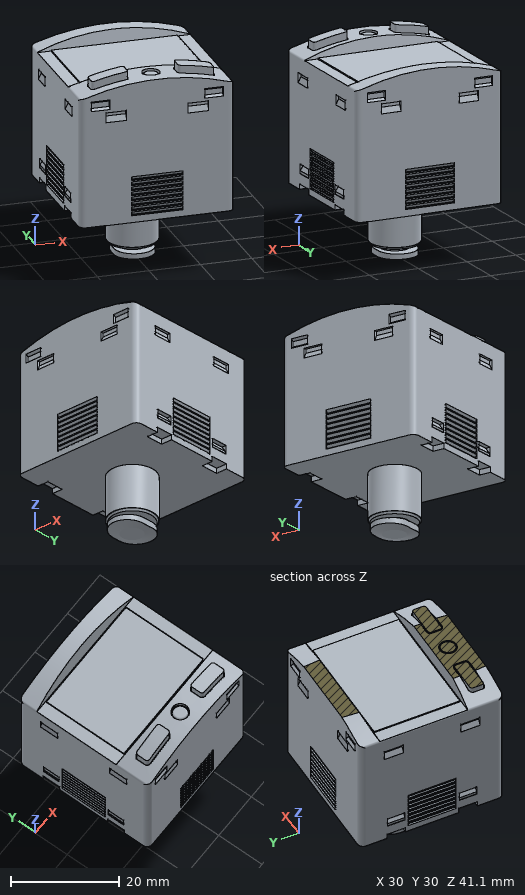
import cadquery as cq
import math


overall_height = 41.1
width = 30.0
half_width = width / 2
corner_radius = 1.25
crown_height = 27.88
crown_radius = 45.9
crown_edge_fillet = 0.5

recess_floor = 25.35
recess_front, recess_back = -7.45, 10.85
recess_front_rim, recess_back_rim = -8.25, 11.75
display_length = 24.55
display_height = 0.25
display_gap = 0.15
display_corner = 0.2

key_length, key_depth, key_corner = 7.0, 2.88, 0.58
key_center_x, key_center_y = 8.4, -11.1
key_clearance = 0.15
key_moat_depth = 0.5

cap_diameter, cap_well_diameter = 3.0, 3.37
cap_fillet = 0.4
cap_top = crown_height - 0.25
cap_well_depth = 0.75

upper_latch_depth = 0.58
upper_latch_center, upper_latch_length = 7.98, 4.0
upper_latch_bottom, upper_latch_back, upper_latch_top = 20.45, 21.55, 22.35
bar_latch_depth = 0.55
bar_latch_center, bar_latch_length = 11.0, 3.6
bar_latch_bottom, bar_latch_top = 23.0, 24.88
bar_latch_slope = 0.4
lower_latch_depth = 1.0
lower_latch_center, lower_latch_length = 7.5, 3.6
lower_latch_bottom, lower_latch_lip, lower_latch_top = 3.13, 3.65, 4.95
lower_lip_depth = 0.1
notch_length, notch_height, notch_depth = 3.85, 1.05, 2.45

vent_count = 8
vent_length = 10.0
vent_bottom, vent_top = 1.35, 9.1
vent_height, vent_back_height = 0.75, 0.12
vent_depth = 0.4
vent_pitch = (vent_top - vent_bottom - vent_height) / (vent_count - 1)

fitting_diameter = 10.0
rim_top_diameter, rim_bottom_diameter = 9.8, 9.2
neck_diameter, collar_diameter = 5.4, 5.65
flange_length, flange_width = 10.0, 7.8
tip_diameter = 4.7
rim_top, rim_bottom = -9.15, -9.62
collar_top, flange_top = -10.1, -10.45
flange_edge, tip_bottom = -11.5, -12.0


def crown_z(x):
    """Height of the crown at a distance x from its middle."""
    return crown_height - crown_radius + math.sqrt(crown_radius**2 - x**2)


key_rise = overall_height + tip_bottom - crown_z(key_center_x - key_length / 2)


def crown_solid(rise, base):
    """Full-depth solid under the cylindrical crown, shifted up by rise and cut off at base."""
    edge = crown_z(half_width)
    return (
        cq.Workplane("XZ", origin=(0, half_width, 0))
        .moveTo(-half_width, base)
        .lineTo(-half_width, edge + rise)
        .threePointArc((0, crown_height + rise), (half_width, edge + rise))
        .lineTo(half_width, base)
        .close()
        .extrude(width)
    )


def rounded_block(length, depth, corner, height):
    """Upright block standing on Z = 0 with rounded vertical edges."""
    return cq.Workplane("XY").rect(length, depth).extrude(height).edges("|Z").fillet(corner)


def housing():
    """Square block with rounded corners under the crown."""
    crown = crown_solid(0, 0)
    crown = crown.edges("|Y").edges(">Z").fillet(crown_edge_fillet)
    return crown.intersect(rounded_block(width, width, corner_radius, crown_height))


def display_recess():
    """Trapezoidal trough across the crown, with a raised display panel left in it."""
    trough = (
        cq.Workplane("YZ", origin=(-half_width, 0, 0))
        .polyline(
            [
                (recess_front, recess_floor),
                (recess_back, recess_floor),
                (recess_back_rim, crown_height),
                (recess_front_rim, crown_height),
            ]
        )
        .close()
        .extrude(width)
    )
    panel_depth = recess_back - recess_front - 2 * display_gap
    panel = rounded_block(display_length, panel_depth, display_corner, display_height)
    return trough.cut(panel.translate((0, (recess_front + recess_back) / 2, recess_floor)))


def key_prism(side, margin):
    """Tall prism with the outline of one key, grown by margin all round."""
    prism = rounded_block(
        key_length + 2 * margin, key_depth + 2 * margin, key_corner + margin, crown_height + key_rise
    )
    return prism.translate((side * key_center_x, key_center_y, 0))


def add_keys(body):
    """Two raised keys, each in a narrow moat."""
    for side in (-1, 1):
        moat = key_prism(side, key_clearance).cut(crown_solid(-key_moat_depth, 0))
        key = key_prism(side, 0).intersect(crown_solid(key_rise, recess_floor))
        body = body.cut(moat).union(key)
    return body


def add_center_cap(body):
    """Round-edged cap standing in a well."""
    well_floor = crown_height - cap_well_depth
    center = cq.Workplane("XY", origin=(0, key_center_y, well_floor))
    well = center.circle(cap_well_diameter / 2).extrude(cap_well_depth)
    cap = center.circle(cap_diameter / 2).extrude(cap_top - well_floor)
    return body.cut(well).union(cap.faces(">Z").edges().fillet(cap_fillet))


def wall_pocket(profile, center, length):
    """Pocket in the front wall from (depth, height) points, centred at the given X."""
    points = [(depth - half_width, height) for depth, height in profile]
    start = center - length / 2
    return cq.Workplane("YZ", origin=(start, 0, 0)).polyline(points).close().extrude(length)


def upper_latch(center):
    profile = [
        (0, upper_latch_bottom),
        (upper_latch_depth, upper_latch_back),
        (upper_latch_depth, upper_latch_top),
        (0, upper_latch_top),
    ]
    return wall_pocket(profile, center, upper_latch_length)


def bar_latch(center):
    profile = [
        (0, bar_latch_bottom),
        (bar_latch_depth, bar_latch_bottom + bar_latch_slope),
        (bar_latch_depth, bar_latch_top - bar_latch_slope),
        (0, bar_latch_top),
    ]
    return wall_pocket(profile, center, bar_latch_length)


def lower_latch(center):
    profile = [
        (0, lower_latch_bottom),
        (lower_lip_depth, lower_latch_bottom),
        (lower_lip_depth, lower_latch_lip),
        (lower_latch_depth, lower_latch_top),
        (0, lower_latch_top),
    ]
    return wall_pocket(profile, center, lower_latch_length)


def base_notch(center):
    profile = [(0, 0), (notch_depth, 0), (notch_depth, notch_height), (0, notch_height)]
    return wall_pocket(profile, center, notch_length)


def vent_slots():
    slots = cq.Workplane("XY")
    for index in range(vent_count):
        bottom = vent_bottom + index * vent_pitch
        profile = [
            (0, bottom),
            (vent_depth, bottom),
            (vent_depth, bottom + vent_back_height),
            (0, bottom + vent_height),
        ]
        slots = slots.add(wall_pocket(profile, 0, vent_length))
    return slots.combine()


def cut_walls(body):
    """Cut every wall; opposite walls are alike."""
    common = vent_slots()
    front = cq.Workplane("XY")
    left = cq.Workplane("XY")
    for side in (-1, 1):
        common = common.union(upper_latch(side * upper_latch_center))
        front = front.union(bar_latch(side * bar_latch_center))
        left = left.union(lower_latch(side * lower_latch_center))
        left = left.union(base_notch(side * lower_latch_center))
    for wall, angle in ((front, 0), (left, 90)):
        for turn in (angle, angle + 180):
            cutter = common.union(wall).rotate((0, 0, 0), (0, 0, 1), turn)
            body = body.cut(cutter)
    return body


def fitting():
    """Stepped round body with an oval release flange that has a conical underside."""
    body = (
        cq.Workplane("XZ")
        .polyline(
            [
                (0, 0),
                (fitting_diameter / 2, 0),
                (fitting_diameter / 2, rim_top),
                (rim_top_diameter / 2, rim_top),
                (rim_bottom_diameter / 2, rim_bottom),
                (neck_diameter / 2, rim_bottom),
                (neck_diameter / 2, collar_top),
                (collar_diameter / 2, collar_top),
                (collar_diameter / 2, flange_top),
                (0, flange_top),
            ]
        )
        .close()
        .revolve(360, (0, 0), (0, 1))
    )
    cone = (
        cq.Workplane("XZ")
        .polyline(
            [
                (0, flange_top),
                (flange_length / 2, flange_top),
                (flange_length / 2, flange_edge),
                (tip_diameter / 2, tip_bottom),
                (0, tip_bottom),
            ]
        )
        .close()
        .revolve(360, (0, 0), (0, 1))
    )
    oval = (
        cq.Workplane("XY", origin=(0, 0, tip_bottom))
        .slot2D(flange_length, flange_width, 90)
        .extrude(flange_top - tip_bottom)
    )
    return body.union(cone.intersect(oval))


result = housing().cut(display_recess())
result = add_keys(result)
result = add_center_cap(result)
result = cut_walls(result)
result = result.union(fitting())